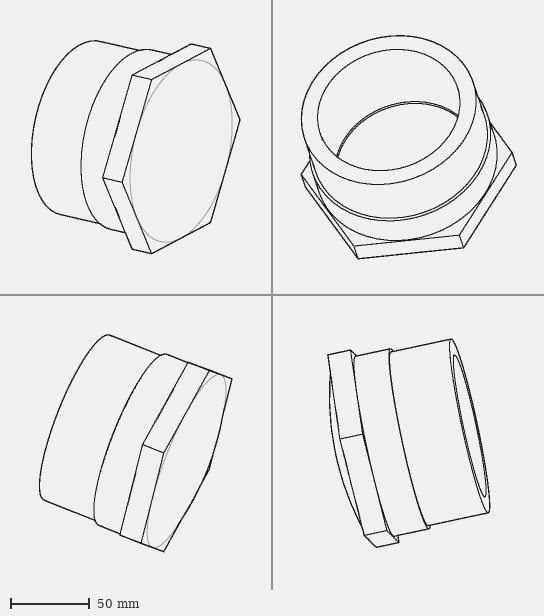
import cadquery as cq
import math

hex_across_corners = 136.2
hex_across_flats = hex_across_corners * math.cos(math.pi / 6)

spigot_diameter = 113.0
collar_diameter = 117.0

collar_start = 39.1
head_start = 61.9
dome_start = 76.7
dome_tip = 86.7

bore_diameter = 92.0
bore_bottom_diameter = 91.0
taper_start = 60.5
bore_depth = head_start


def cylinder_along_x(diameter, start, end):
    return cq.Workplane("YZ", origin=(start, 0, 0)).circle(diameter / 2).extrude(end - start)


def hex_head():
    outline = cq.Workplane("YZ", origin=(head_start, 0, 0)).polygon(6, hex_across_corners)
    return outline.extrude(dome_start - head_start)


def dome():
    rim_radius = hex_across_flats / 2
    height = dome_tip - dome_start
    sphere_radius = (rim_radius**2 + height**2) / (2 * height)
    sphere_center = dome_tip - sphere_radius
    middle_angle = math.asin(rim_radius / sphere_radius) / 2
    middle_point = (
        sphere_center + sphere_radius * math.cos(middle_angle),
        sphere_radius * math.sin(middle_angle),
    )
    half_section = (
        cq.Workplane("XY")
        .moveTo(dome_start, 0)
        .lineTo(dome_start, rim_radius)
        .threePointArc(middle_point, (dome_tip, 0))
        .close()
    )
    return half_section.revolve(360, (0, 0, 0), (1, 0, 0))


def bore():
    main_bore = cylinder_along_x(bore_diameter, 0, taper_start)
    bottom_taper = (
        cq.Workplane("YZ", origin=(taper_start, 0, 0))
        .circle(bore_diameter / 2)
        .workplane(offset=bore_depth - taper_start)
        .circle(bore_bottom_diameter / 2)
        .loft()
    )
    return main_bore.union(bottom_taper)


spigot = cylinder_along_x(spigot_diameter, 0, collar_start)
collar = cylinder_along_x(collar_diameter, collar_start, head_start)
result = spigot.union(collar).union(hex_head()).union(dome()).cut(bore())